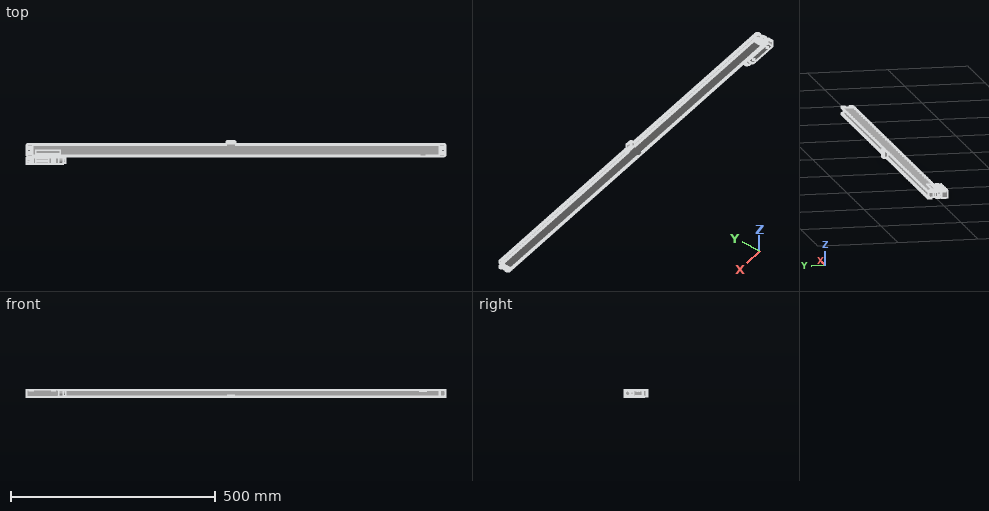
import cadquery as cq

length = 1025.0
height = 18.0

rail_width = 31.0
lip_thickness = 2.0
lip_depth = 3.0

lug_length = 13.0
slit_length = 2.0
slit_width = 16.0
lug_web_width = 20.0
corner_radius = 5.0
lug_channel_width = 12.0
lug_channel_depth = 3.0
lug_hole_length = 8.0
lug_hole_width = 5.0

ledge_length = 16.0
ledge_height = 2.0
upper_ledge_x = 970.0

label_length = 59.0
label_width = 9.0
label_depth = 0.5
label_start = 24.0
label_y = -4.0

foot_x = 500.0
foot_base_width = 23.0
foot_tip_width = 16.0
foot_reach = 8.0
foot_height = 17.0
foot_taper_length = 3.0
foot_slot_length = 11.0
foot_slot_width = 3.0

head_gap = 3.0
head_length = 79.0
head_width = 15.0
tongue_height = 8.0
head_hole_diameter = 5.0
head_pocket_length = 9.0
head_pocket_width = 13.0
head_pocket_depth = 3.0
head_hole_inset = 12.0
entry_width = 5.0
panel_length = 32.0
panel_width = 11.0
panel_depth = 0.5
panel_rib_width = 1.0

gland_diameter = 16.0
gland_length = 11.0
nozzle_diameter = 12.0
nozzle_length = 6.0

top = height / 2
rail_side = rail_width / 2
recess_top = top - lip_thickness
web_width = rail_width - 2 * lip_depth
head_inner_y = -rail_side - head_gap
head_y = head_inner_y - head_width / 2
gland_y = head_inner_y - head_width + gland_diameter / 2


def block(x_start, x_size, y_center, y_size, z_low, z_high):
    """Box from x_start along +X, centred on y_center, between two heights."""
    return (
        cq.Workplane("XY", origin=(x_start, y_center, z_low))
        .rect(x_size, y_size)
        .extrude(z_high - z_low)
        .translate((x_size / 2, 0, 0))
    )


def upright_cylinder(x, y, diameter, z_low, z_high):
    """Cylinder along Z between two heights."""
    return cq.Workplane("XY", origin=(x, y, z_low)).circle(diameter / 2).extrude(z_high - z_low)


def cut_lug(rail, lug_start, slit_start):
    """Cut the top and bottom channels, the hole and the slit of one lug."""
    floor = top - lug_channel_depth
    rail = rail.cut(block(lug_start, lug_length, 0, lug_channel_width, floor, top))
    rail = rail.cut(block(lug_start, lug_length, 0, lug_channel_width, -top, -floor))
    hole_start = lug_start + (lug_length - lug_hole_length) / 2
    rail = rail.cut(block(hole_start, lug_hole_length, 0, lug_hole_width, -top, top))
    return rail.cut(block(slit_start, slit_length, 0, slit_width, -top, top))


def make_foot():
    """Tapered foot with an upright slot, slightly lower than the rail."""
    foot = (
        cq.Workplane("XY", origin=(foot_x, rail_side, -foot_height / 2))
        .moveTo(-foot_base_width / 2, -lip_depth)
        .lineTo(foot_base_width / 2, -lip_depth)
        .lineTo(foot_base_width / 2, foot_reach - foot_taper_length)
        .lineTo(foot_tip_width / 2, foot_reach)
        .lineTo(-foot_tip_width / 2, foot_reach)
        .lineTo(-foot_base_width / 2, foot_reach - foot_taper_length)
        .close()
        .extrude(foot_height)
    )
    slot_start = foot_x - foot_slot_length / 2
    slot_y = rail_side + foot_reach / 2
    return foot.cut(block(slot_start, foot_slot_length, slot_y, foot_slot_width, -top, top))


def make_ledge(x_center, z_low):
    """Ledge in the -Y recess, flush with the lips."""
    ledge_y = -rail_side + lip_depth / 2
    return block(x_center - ledge_length / 2, ledge_length, ledge_y, lip_depth, z_low, z_low + ledge_height)


def rounded_plate(width, z_low, z_high):
    """Full-length plate with rounded upright corners."""
    return block(0, length, 0, width, z_low, z_high).edges("|Z").fillet(corner_radius)


def make_rail():
    web_start = lug_length + slit_length
    rail = rounded_plate(lug_web_width, -recess_top, recess_top)
    rail = rail.union(block(web_start, length - 2 * web_start, 0, web_width, -recess_top, recess_top))
    rail = rail.union(rounded_plate(rail_width, recess_top, top))
    rail = rail.union(rounded_plate(rail_width, -top, -recess_top))

    rail = cut_lug(rail, 0, lug_length)
    rail = cut_lug(rail, length - lug_length, length - lug_length - slit_length)

    rail = rail.union(make_ledge(upper_ledge_x, recess_top - ledge_height))
    rail = rail.union(make_ledge(foot_x, -recess_top))
    rail = rail.cut(block(label_start, label_length, label_y, label_width, top - label_depth, top))
    return rail.union(make_foot())


def make_reading_head():
    head = block(0, head_length, head_y, head_width, -top, top)

    tongue_y = head_inner_y + (head_gap + lip_depth) / 2
    tongue_start = lug_length + slit_length
    tongue = block(
        tongue_start,
        head_length - tongue_start,
        tongue_y,
        head_gap + lip_depth,
        -tongue_height / 2,
        tongue_height / 2,
    )
    head = head.union(tongue)

    pocket_floor = top - head_pocket_depth
    for hole_x in (head_hole_inset, head_length - head_hole_inset):
        pocket_start = hole_x - head_pocket_length / 2
        head = head.cut(upright_cylinder(hole_x, head_y, head_hole_diameter, -top, top))
        head = head.cut(block(pocket_start, head_pocket_length, head_y, head_pocket_width, pocket_floor, top))

    head = head.cut(block(0, head_hole_inset, head_y, entry_width, pocket_floor, top))

    panel_start = (head_length - panel_length) / 2
    panel_floor = top - panel_depth
    panel = block(panel_start, panel_length, head_y, panel_width, panel_floor, top)
    rib = block(panel_start, panel_length, head_y, panel_rib_width, panel_floor, top)
    head = head.cut(panel.cut(rib))

    gland = (
        cq.Workplane("YZ", origin=(head_length, gland_y, 0))
        .circle(gland_diameter / 2)
        .extrude(gland_length)
        .faces(">X")
        .workplane()
        .circle(nozzle_diameter / 2)
        .extrude(nozzle_length)
    )
    return head.union(gland)


rail = make_rail()
reading_head = make_reading_head()
result = cq.Compound.makeCompound([rail.val(), reading_head.val()])